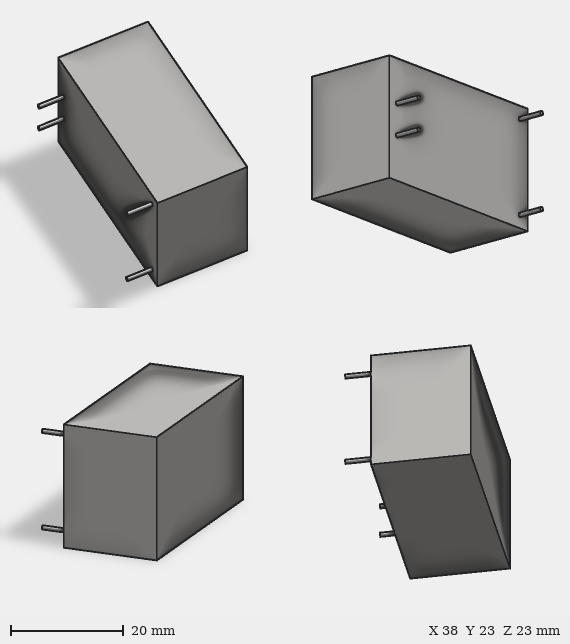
import cadquery as cq

case_length = 38.0
case_depth = 18.0
case_height = 23.0

pin_diameter = 0.8
pin_length = 5.0
pin_column_spacing = 33.7
left_pin_spacing = 6.0
right_pin_spacing = 18.0


def make_case():
    return cq.Workplane("XY").box(case_length, case_depth, case_height, centered=(True, False, True))


def make_pin_pair(x, spacing):
    """Two pins in a column at x, placed evenly above and below mid-height."""
    centres = [(x, -spacing / 2), (x, spacing / 2)]
    return cq.Workplane("XZ").pushPoints(centres).circle(pin_diameter / 2).extrude(pin_length)


left_pins = make_pin_pair(-pin_column_spacing / 2, left_pin_spacing)
right_pins = make_pin_pair(pin_column_spacing / 2, right_pin_spacing)

result = make_case().union(left_pins).union(right_pins)